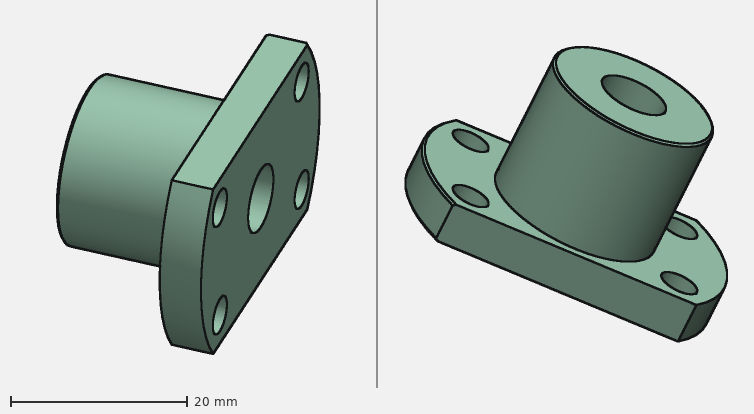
import cadquery as cq

total_length = 21.0
flange_diameter = 38.0
flange_thickness = 5.0
flange_height = 23.0
barrel_diameter = 20.0
bore_diameter = 8.0
barrel_chamfer = 0.25
rim_chamfer = 0.25
bolt_hole_diameter = 4.5
bolt_spacing_y = 26.0
bolt_spacing_z = 15.0

flange_start = total_length - flange_thickness


def make_barrel():
    """Cylinder with a chamfered free end."""
    barrel = cq.Workplane("YZ").circle(barrel_diameter / 2).extrude(total_length)
    return barrel.faces("<X").chamfer(barrel_chamfer)


def make_flange():
    """Disc with two flats; the +Y arc is chamfered on both faces."""
    disc = cq.Workplane("YZ", origin=(flange_start, 0, 0)).circle(flange_diameter / 2)
    disc = disc.extrude(flange_thickness)
    flats = cq.Workplane("YZ", origin=(flange_start, 0, 0)).rect(flange_diameter, flange_height)
    flange = disc.intersect(flats.extrude(flange_thickness))
    rim = flange.edges("%CIRCLE").edges(">Y")
    return rim.chamfer(rim_chamfer)


def make_holes():
    """Central bore and four bolt holes, all running through along X."""
    bore = cq.Workplane("YZ").circle(bore_diameter / 2).extrude(total_length)
    bolt_holes = (
        cq.Workplane("YZ", origin=(flange_start, 0, 0))
        .rect(bolt_spacing_y, bolt_spacing_z, forConstruction=True)
        .vertices()
        .circle(bolt_hole_diameter / 2)
        .extrude(flange_thickness)
    )
    return bore.union(bolt_holes)


result = make_barrel().union(make_flange()).cut(make_holes())